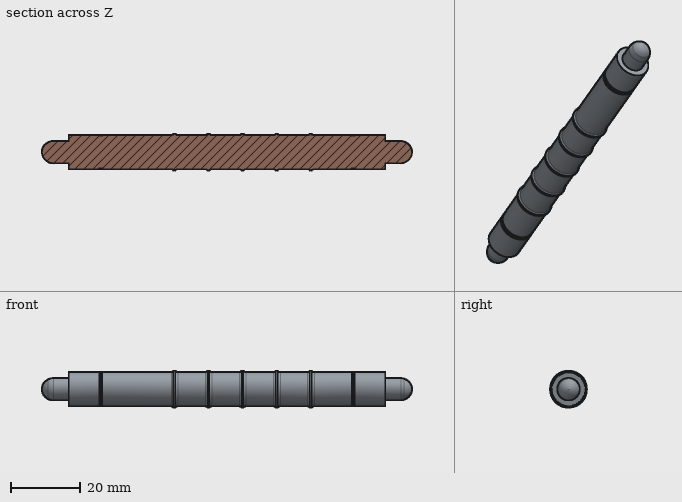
import cadquery as cq
import math

length = 106.9
rib_diameter = 10.7

body_diameter = 9.9
body_length = 91.3
end_band_length = 8.8

grooves_per_end = 2
groove_diameter = 9.5
groove_width = 0.3
groove_pitch = 0.6

rib_count = 5
rib_pitch = 9.8
first_rib_x = -15.2
rib_base_width = 1.9
rib_crown_width = 0.5

pin_diameter = 6.5
nose_length = 3.3
nose_tip_diameter = 0.102
left_shoulder_length = 1.6
left_shoulder_diameter = 5.6
left_dome_radius = 3.1
right_shoulder_length = 0.9
right_shoulder_diameter = 6.2
right_dome_radius = 3.4


def revolve_about_x(profile):
    return profile.close().revolve(360, (0, 0, 0), (1, 0, 0))


def cylinder(start_x, end_x, diameter):
    return cq.Workplane("YZ", origin=(start_x, 0, 0)).circle(diameter / 2).extrude(end_x - start_x)


def make_pin(side, shoulder_length, shoulder_diameter, dome_radius):
    """Pin with a rounded shoulder and a domed nose; side is -1 (left) or 1 (right)."""
    tip_x = length / 2
    nose_x = tip_x - nose_length
    shoulder_x = nose_x + shoulder_length
    shoulder_radius = shoulder_diameter / 2
    tip_radius = nose_tip_diameter / 2

    dome_length = tip_x - shoulder_x
    dome_rise = shoulder_radius - tip_radius
    chord = math.hypot(dome_length, dome_rise)
    bulge = dome_radius - math.sqrt(dome_radius**2 - (chord / 2) ** 2)
    dome_middle = (
        side * ((tip_x + shoulder_x) / 2 + bulge * dome_rise / chord),
        (tip_radius + shoulder_radius) / 2 + bulge * dome_length / chord,
    )

    profile = (
        cq.Workplane("XY")
        .lineTo(0, pin_diameter / 2)
        .lineTo(side * nose_x, pin_diameter / 2)
        .tangentArcPoint((side * shoulder_x, shoulder_radius), relative=False)
        .threePointArc(dome_middle, (side * tip_x, tip_radius))
        .lineTo(side * tip_x, 0)
    )
    return revolve_about_x(profile)


def make_groove(center_x):
    """Ring-shaped cutter for one narrow groove."""
    start_x = center_x - groove_width / 2
    end_x = center_x + groove_width / 2
    floor = cylinder(start_x, end_x, groove_diameter)
    return cylinder(start_x, end_x, rib_diameter).cut(floor)


def make_body():
    body = cylinder(-body_length / 2, body_length / 2, body_diameter)
    outer_groove_x = body_length / 2 - end_band_length - groove_width / 2
    for side in (-1, 1):
        for index in range(grooves_per_end):
            body = body.cut(make_groove(side * (outer_groove_x - index * groove_pitch)))
    return body


def make_rib(center_x):
    """Ring with a narrow crown whose flanks flare tangentially into the body."""
    base = rib_base_width / 2
    crown = rib_crown_width / 2
    body_radius = body_diameter / 2
    rib_radius = rib_diameter / 2

    flank_width = base - crown
    flank_height = rib_radius - body_radius
    flank_radius = (flank_width**2 + flank_height**2) / (2 * flank_height)
    half_angle = math.atan2(flank_height, flank_width)
    middle = base - flank_radius * math.sin(half_angle)
    middle_radius = body_radius + flank_radius * (1 - math.cos(half_angle))

    profile = (
        cq.Workplane("XY")
        .moveTo(center_x - base, 0)
        .lineTo(center_x - base, body_radius)
        .threePointArc((center_x - middle, middle_radius), (center_x - crown, rib_radius))
        .lineTo(center_x + crown, rib_radius)
        .threePointArc((center_x + middle, middle_radius), (center_x + base, body_radius))
        .lineTo(center_x + base, 0)
    )
    return revolve_about_x(profile)


result = make_body()
result = result.union(make_pin(-1, left_shoulder_length, left_shoulder_diameter, left_dome_radius))
result = result.union(make_pin(1, right_shoulder_length, right_shoulder_diameter, right_dome_radius))
for index in range(rib_count):
    result = result.union(make_rib(first_rib_x + index * rib_pitch))